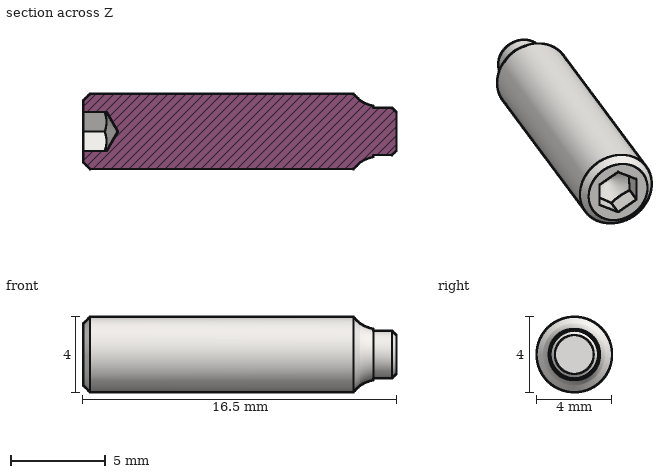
import cadquery as cq
import math

length = 16.5
body_radius = 2.0

head_chamfer = 0.36

shoulder_chamfer = 0.36
neck_length = 0.7
neck_end_radius = 1.35
neck_sag = 0.03
dog_length = 1.22
dog_radius = 1.25
dog_chamfer = 0.23

hex_across_flats = 2.05
hex_depth = 1.14
drill_tip_angle = 120.0

dog_start = length - dog_length
neck_start = dog_start - neck_length
shoulder_start = neck_start - shoulder_chamfer
hex_corner_radius = hex_across_flats / 2 / math.cos(math.radians(30))
cone_depth = hex_corner_radius / math.tan(math.radians(drill_tip_angle / 2))


def turned_body():
    """Revolve the half profile (X along the axis, Y as radius) about X."""
    return (
        cq.Workplane("XY")
        .polyline([
            (0, 0),
            (0, body_radius - head_chamfer),
            (head_chamfer, body_radius),
            (shoulder_start, body_radius),
            (neck_start, body_radius - shoulder_chamfer),
        ])
        .sagittaArc((dog_start, neck_end_radius), -neck_sag)
        .polyline([
            (dog_start, dog_radius),
            (length - dog_chamfer, dog_radius),
            (length, dog_radius - dog_chamfer),
            (length, 0),
        ], includeCurrent=True)
        .close()
        .revolve(360, (0, 0, 0), (1, 0, 0))
    )


def hex_socket():
    """Hexagonal prism with corners on +Z and -Z, ended by a cone."""
    prism = (
        cq.Workplane("YZ")
        .polygon(6, 2 * hex_corner_radius)
        .extrude(hex_depth + cone_depth)
        .rotate((0, 0, 0), (1, 0, 0), 90)
    )
    drill = (
        cq.Workplane("XY")
        .polyline([
            (0, 0),
            (0, hex_corner_radius),
            (hex_depth, hex_corner_radius),
            (hex_depth + cone_depth, 0),
        ])
        .close()
        .revolve(360, (0, 0, 0), (1, 0, 0))
    )
    return prism.intersect(drill)


result = turned_body().cut(hex_socket())